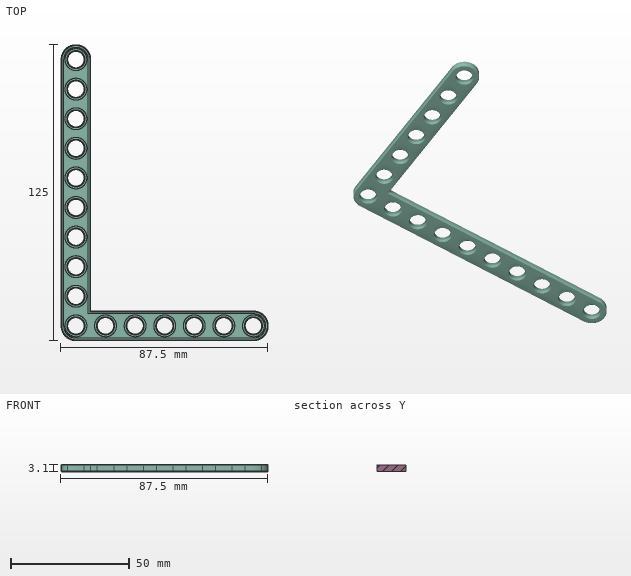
import cadquery as cq

pitch = 12.5
holes_x = 7
holes_y = 10
thickness = 3.1
hole_diameter = 7.0
collar_diameter = 9.2
rim_width = 1.1
recess_depth = 0.2
edge_chamfer = 0.3

arm_radius = pitch / 2
reach_x = (holes_x - 1) * pitch
reach_y = (holes_y - 1) * pitch
hole_centres = [(i * pitch, 0) for i in range(holes_x)] + [(0, i * pitch) for i in range(1, holes_y)]


def arm(reach, angle, radius, height):
    """Round-ended bar from the corner hole centre to the last hole centre of an arm."""
    return (
        cq.Workplane("XY")
        .transformed(rotate=(0, 0, angle))
        .center(reach / 2, 0)
        .slot2D(reach + 2 * radius, 2 * radius)
        .extrude(height)
    )


def ell(radius, height):
    """L-shaped plate made of both arms."""
    return arm(reach_x, 0, radius, height).union(arm(reach_y, 90, radius, height)).clean()


def discs(diameter, height):
    """One disc on every hole centre."""
    return cq.Workplane("XY").pushPoints(hole_centres).circle(diameter / 2).extrude(height)


plate = ell(arm_radius, thickness).cut(discs(hole_diameter, thickness))
plate = plate.faces("<Z or >Z").edges().chamfer(edge_chamfer)

recess = ell(arm_radius - rim_width, recess_depth).cut(discs(collar_diameter, recess_depth))
recess = recess.translate((0, 0, thickness - recess_depth))

result = plate.cut(recess)